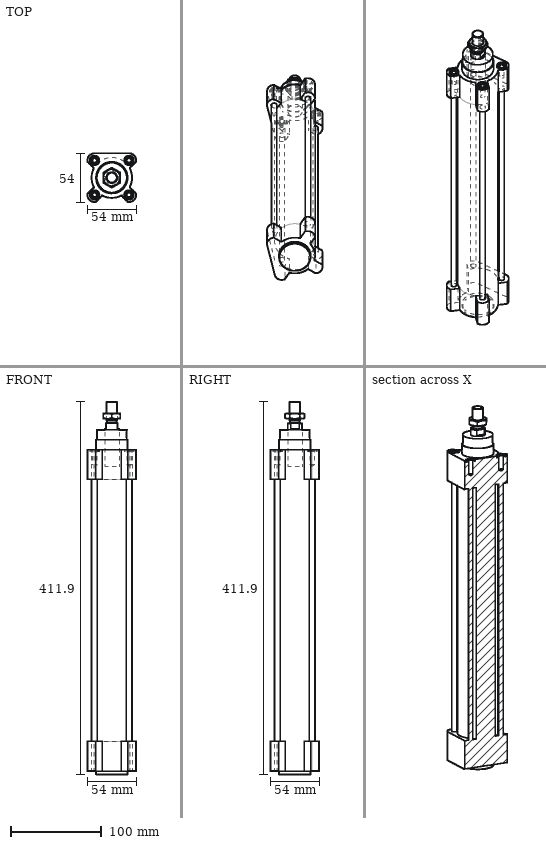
import cadquery as cq
import math

total_length = 411.9
rear_collar_height = 4.0
barrel_length = 355.0
cap_height = 33.0
rear_cap_base = rear_collar_height
rear_cap_top = rear_cap_base + cap_height
head_top = rear_cap_base + barrel_length
head_base = head_top - cap_height

cap_width = 54.0
bolt_pitch = 38.0
core_diameter = 45.0
lug_radius = (cap_width - bolt_pitch) / 2
lug_edge_run = 1.3
half_width = cap_width / 2
bolt_offset = bolt_pitch / 2

tie_rod_diameter = 6.0
recess_diameter = 10.65
recess_depth = 2.0
bolt_head_diameter = 9.5
bolt_head_rim_diameter = 9.0
bolt_head_height = 1.5
thread_mouth_diameter = 6.0
thread_core_diameter = 4.92
bolt_thread_depth = 16.0
drill_point_angle = math.radians(30)

collar_diameter = 35.0
rear_collar_chamfer = 0.6
front_collar_height = 10.7
wiper_diameter = 33.6
wiper_waist_diameter = 32.7
wiper_height = 11.0
collar_top = head_top + front_collar_height
wiper_top = collar_top + wiper_height

rod_diameter = 16.0
rod_thread_diameter = 12.0
rod_thread_length = 24.0
rod_relief_diameter = 10.65
rod_collar_length = 0.6
rod_relief_length = 2.4
rod_thread_chamfer = 0.6
flat_width = 13.0
flat_height = 6.0
rod_depth = 40.0
rod_base = wiper_top - rod_depth
rod_shoulder = total_length - rod_thread_length

nut_across_flats = 19.0
nut_height = 6.0
nut_gap = 5.0
nut_base = rod_shoulder + nut_gap
nut_chamfer_diameter = 18.5
nut_bevel_angle = math.radians(30)


def cylinder(diameter, base, top):
    """Cylinder on the Z axis between two heights."""
    return cq.Workplane("XY").workplane(offset=base).circle(diameter / 2).extrude(top - base)


def lug_outline():
    """Lug at +X, -Y: quarter-round outer corner and two flanks at 45 degrees, ending on the axes."""
    flank_start = bolt_offset - lug_edge_run
    arc_reach = lug_radius * math.sqrt(0.5)
    return (
        cq.Workplane("XY")
        .moveTo(bolt_offset, -half_width)
        .threePointArc((bolt_offset + arc_reach, -bolt_offset - arc_reach), (half_width, -bolt_offset))
        .lineTo(half_width, -flank_start)
        .lineTo(half_width - flank_start, 0)
        .lineTo(0, flank_start - half_width)
        .lineTo(flank_start, -half_width)
        .close()
    )


def cap(base):
    """Round core with four lugs; the +Y side is filled to a flat face between its two lugs."""
    body = cylinder(core_diameter, base, base + cap_height)
    lug = lug_outline().extrude(cap_height).translate((0, 0, base))
    for quarter in range(4):
        body = body.union(lug.rotate((0, 0, 0), (0, 0, 1), 90 * quarter))
    flat_side = (
        cq.Workplane("XY")
        .workplane(offset=base)
        .center(0, half_width / 2)
        .rect(bolt_pitch, half_width)
        .extrude(cap_height)
    )
    return body.union(flat_side)


def at_bolts(diameter, base, top):
    """Four cylinders on the tie rod axes between two heights."""
    return (
        cq.Workplane("XY")
        .workplane(offset=base)
        .rect(bolt_pitch, bolt_pitch, forConstruction=True)
        .vertices()
        .circle(diameter / 2)
        .extrude(top - base)
    )


def front_wiper():
    """Wiper ring whose side is slightly hollowed by a shallow arc."""
    waist_radius = wiper_waist_diameter / 2
    end_radius = wiper_diameter / 2
    profile = (
        cq.Workplane("XZ")
        .moveTo(0, collar_top)
        .lineTo(end_radius, collar_top)
        .threePointArc((waist_radius, (collar_top + wiper_top) / 2), (end_radius, wiper_top))
        .lineTo(0, wiper_top)
        .close()
    )
    return profile.revolve(360, (0, 0, 0), (0, 1, 0))


def bolt_head(floor):
    """Bolt head with a bevelled rim, a countersunk thread mouth and a blind hole with a drill point."""
    rim = bolt_head_rim_diameter / 2
    outer = bolt_head_diameter / 2
    mouth = thread_mouth_diameter / 2
    core = thread_core_diameter / 2
    face = floor + bolt_head_height
    head = cylinder(bolt_head_diameter, floor, face).faces(">Z").chamfer(outer - rim)
    hole = (
        cq.Workplane("XZ")
        .moveTo(0, face)
        .lineTo(mouth, face)
        .lineTo(core, face - (mouth - core))
        .lineTo(core, face - bolt_thread_depth)
        .lineTo(0, face - bolt_thread_depth - core * math.tan(drill_point_angle))
        .close()
        .revolve(360, (0, 0, 0), (0, 1, 0))
    )
    return head, hole


def make_housing():
    """Caps, tube, tie rods and collars in one piece, with a seat for the piston rod."""
    body = cap(rear_cap_base).union(cap(head_base))
    body = body.union(cylinder(core_diameter, rear_cap_top, head_base))
    body = body.union(at_bolts(tie_rod_diameter, rear_cap_top, head_base))

    rear_collar = cylinder(collar_diameter, 0, rear_collar_height).faces("<Z").chamfer(rear_collar_chamfer)
    body = body.union(rear_collar)
    body = body.union(cylinder(collar_diameter, head_top, collar_top)).union(front_wiper())

    recess_floor = head_top - recess_depth
    body = body.cut(at_bolts(recess_diameter, recess_floor, head_top))
    head, hole = bolt_head(recess_floor)
    for x in (-bolt_offset, bolt_offset):
        for y in (-bolt_offset, bolt_offset):
            body = body.union(head.translate((x, y, 0))).cut(hole.translate((x, y, 0)))

    return body.cut(cylinder(rod_diameter, rod_base, wiper_top))


def make_piston_rod():
    """Rod with two wrench flats facing -X and +X below the shoulder, then a relief and a thread."""
    rod = cylinder(rod_diameter, rod_base, rod_shoulder)
    flats = (
        cq.Workplane("XY")
        .workplane(offset=rod_shoulder - flat_height)
        .rect(2 * rod_diameter, 2 * rod_diameter)
        .rect(flat_width, 2 * rod_diameter)
        .extrude(flat_height)
    )
    rod = rod.cut(flats)
    collar_end = rod_shoulder + rod_collar_length
    relief_top = collar_end + rod_relief_length
    rod = rod.union(cylinder(rod_thread_diameter, rod_shoulder, collar_end))
    rod = rod.union(cylinder(rod_relief_diameter, collar_end, relief_top))
    thread = cylinder(rod_thread_diameter, relief_top, total_length).faces("|Z").chamfer(rod_thread_chamfer)
    return rod.union(thread)


def make_lock_nut():
    """Hexagon nut with corners on the Y axis, both ends bevelled."""
    across_corners = nut_across_flats / math.cos(math.pi / 6)
    hexagon = (
        cq.Workplane("XY")
        .workplane(offset=nut_base)
        .polygon(6, across_corners)
        .extrude(nut_height)
        .rotate((0, 0, 0), (0, 0, 1), 30)
    )
    bevel = (across_corners - nut_chamfer_diameter) / 2
    bevelled_disc = cylinder(across_corners, nut_base, nut_base + nut_height).faces("|Z").chamfer(
        bevel * math.tan(nut_bevel_angle), bevel
    )
    bore = cylinder(rod_thread_diameter, nut_base, nut_base + nut_height)
    return hexagon.intersect(bevelled_disc).cut(bore)


housing = make_housing()
piston_rod = make_piston_rod()
lock_nut = make_lock_nut()

result = cq.Compound.makeCompound([housing.val(), piston_rod.val(), lock_nut.val()])